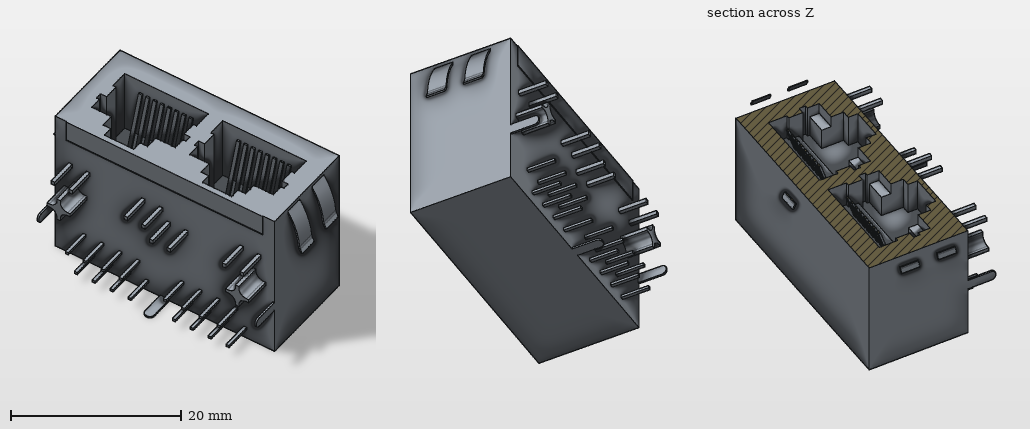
import cadquery as cq
import math


overall_width = 35.42
spring_reach = 2.1
body_width = overall_width - 2 * spring_reach
body_depth = 13.42
body_height = 21.35

plate_width = 27.98
plate_height = 3.0
plate_thickness = 0.1

port_spacing = 13.95
port_centers = (-port_spacing / 2, port_spacing / 2)
bay_depth = 8.95
latch_depth = 9.9
ledge_depth = 7.1
bay_back = 10.5
bay_shoulder = 8.05
bay_front = 6.65
guide_back = 6.1
guide_front = 5.25
ledge_back = 4.92
ledge_front = 3.65
latch_front = 1.95
latch_tip = 0.65
port_width = 11.9
bay_width = 11.0
guide_width = 12.75
latch_width = 6.35
latch_tip_width = 4.18

contact_count = 8
contact_pitch = 1.03
contact_width = 0.5
contact_top = 19.45
contact_thickness = 0.3
contact_lip = 0.2
contact_run = 2.25

pin_pitch = 1.28
pin_width = 0.43
pin_height = 0.35
pin_length = 3.7
pin_row_low = 1.55
pin_row_high = 4.1
led_pin_spacing = 2.5
led_pin_width = 0.5
led_pin_height = 0.55
led_pin_length = 3.65
led_row_outer = 14.5
led_row_inner = 12.68
led_pairs = (
    (-12.2, led_row_outer),
    (-1.8, led_row_outer),
    (12.2, led_row_outer),
    (1.8, led_row_inner),
)

post_x = 12.7
post_z = 10.4
post_span = 3.3
post_arm_width = 0.5
post_arc_radius = 1.05
post_length = 3.55

leg_width = 1.3
leg_thickness = 0.25
leg_length = 3.75
leg_corner_radius = 0.55
side_leg_z = 7.4

spring_width = 2.48
spring_thickness = 0.2
spring_root = (-0.2, 20.97)
spring_middle = (1.15, 18.28)
spring_knee = (1.6, 15.97)
spring_bend_end = (1.7, 15.55)
spring_tip_angle = 28.0
side_spring_y = (3.95, 8.95)

overlap = 0.18


def box(x_range, y_range, z_range):
    """Box between two limits along each axis."""
    spans = [high - low for low, high in (x_range, y_range, z_range)]
    corner = cq.Vector(x_range[0], y_range[0], z_range[0])
    return cq.Workplane(cq.Solid.makeBox(*spans, corner))


def around(center, size):
    """Limits of a length centred on a place."""
    return (center - size / 2, center + size / 2)


def pocket(center_x, width, front, back, depth):
    """Box sunk into the top of the housing."""
    return box(around(center_x, width), (front, back), (body_height - depth, body_height + overlap))


def port_cavity(x):
    """Stepped plug opening with the contact bay, side guides, ledges and latch slot."""
    steps = (
        (port_width, bay_shoulder, bay_back, bay_depth),
        (bay_width, bay_front, bay_shoulder, bay_depth),
        (bay_width, guide_back, bay_front, latch_depth),
        (guide_width, guide_front, guide_back, latch_depth),
        (port_width, ledge_back, guide_front, latch_depth),
        (port_width, ledge_front, ledge_back, ledge_depth),
        (latch_width, latch_front, ledge_back, latch_depth),
        (latch_tip_width, latch_tip, latch_front, latch_depth),
    )
    cavity = pocket(x, *steps[0])
    for step in steps[1:]:
        cavity = cavity.union(pocket(x, *step))
    return cavity


def port_contacts(x):
    """Row of slanted bars running from the back wall of the bay down to its floor."""
    floor = body_height - bay_depth
    tip_y = bay_back - contact_lip
    foot_y = tip_y - contact_run
    profile = (
        cq.Workplane("YZ")
        .polyline([
            (tip_y, contact_top),
            (tip_y + contact_thickness, contact_top),
            (foot_y + contact_thickness, floor),
            (foot_y + contact_thickness, floor - overlap),
            (foot_y, floor - overlap),
            (foot_y, floor),
        ])
        .close()
        .extrude(contact_width / 2, both=True)
    )
    first = x - (contact_count - 1) / 2 * contact_pitch
    return [profile.translate((first + i * contact_pitch, 0, 0)) for i in range(contact_count)]


def square_pin(x, z, width, height, length):
    """Straight pin standing out of the board-side face."""
    return box(around(x, width), (-length, overlap), around(z, height))


def port_pins(x):
    """Signal pins of one port, staggered over two rows."""
    pins = []
    for i in range(contact_count):
        pin_x = x + (i - (contact_count - 1) / 2) * pin_pitch
        row = pin_row_high if i % 2 == 0 else pin_row_low
        pins.append(square_pin(pin_x, row, pin_width, pin_height, pin_length))
    return pins


def led_pins():
    """Pairs of indicator pins."""
    pins = []
    for pair_x, z in led_pairs:
        for x in around(pair_x, led_pin_spacing):
            pins.append(square_pin(x, z, led_pin_width, led_pin_height, led_pin_length))
    return pins


def board_post(x):
    """Cross-shaped post whose arms flow together through concave quarter arcs."""
    arm = post_arm_width / 2
    arc_center = arm + post_arc_radius
    core = 2 * arc_center
    post = box(around(x, core), (-post_length, overlap), around(post_z, core))
    for side_x in (-1, 1):
        for side_z in (-1, 1):
            flute = (
                cq.Workplane("XZ", origin=(x, overlap, post_z))
                .center(side_x * arc_center, side_z * arc_center)
                .circle(post_arc_radius)
                .extrude(post_length + overlap)
            )
            post = post.cut(flute)
    depth = (-post_length, overlap)
    post = post.union(box(around(x, post_span), depth, around(post_z, post_arm_width)))
    return post.union(box(around(x, post_arm_width), depth, around(post_z, post_span)))


def side_leg(side):
    """Rounded leg flush with one side of the housing."""
    edge = side * body_width / 2
    x_range = sorted((edge, edge - side * leg_thickness))
    leg = box(x_range, (-leg_length, overlap), around(side_leg_z, leg_width))
    return leg.edges("|X and <Y").fillet(leg_corner_radius)


def bottom_leg():
    """Rounded leg flush with the bottom of the housing."""
    leg = box(around(0, leg_width), (-leg_length, overlap), (0, leg_thickness))
    return leg.edges("|Z and <Y").fillet(leg_corner_radius)


def spring():
    """Bowed leaf spring in the XZ plane, with the wall it grows from at X = 0."""
    tip_angle = math.radians(spring_tip_angle)
    bend_x, bend_z = spring_bend_end
    tip_x = spring_reach - spring_thickness / 2 * math.cos(tip_angle)
    tip_z = bend_z - (tip_x - bend_x) / math.tan(tip_angle)
    path = (
        cq.Workplane("XZ")
        .moveTo(*spring_root)
        .threePointArc(spring_middle, spring_knee)
        .tangentArcPoint(spring_bend_end, relative=False)
        .lineTo(tip_x, tip_z)
        .wire()
    )
    center_line = path.val()
    section = cq.Plane(center_line.startPoint(), xDir=(0, 1, 0), normal=center_line.tangentAt(0))
    return cq.Workplane(section).rect(spring_width, spring_thickness).sweep(path, transition="right")


def springs():
    """Two springs on each side and one on the back."""
    leaf = spring()
    placed = []
    for y in side_spring_y:
        right = leaf.translate((body_width / 2, y, 0))
        placed += [right, right.mirror("YZ")]
    back = leaf.rotate((0, 0, 0), (0, 0, 1), 90).translate((0, body_depth, 0))
    return placed + [back]


body = box(around(0, body_width), (0, body_depth), (0, body_height))
plate = box(
    around(0, plate_width), (-plate_thickness, overlap), (body_height - plate_height, body_height)
)
result = body.union(plate)
for port_x in port_centers:
    result = result.cut(port_cavity(port_x))

pieces = led_pins() + springs() + [bottom_leg()]
for port_x in port_centers:
    pieces += port_contacts(port_x) + port_pins(port_x)
for side in (-1, 1):
    pieces += [board_post(side * post_x), side_leg(side)]
for piece in pieces:
    result = result.union(piece)